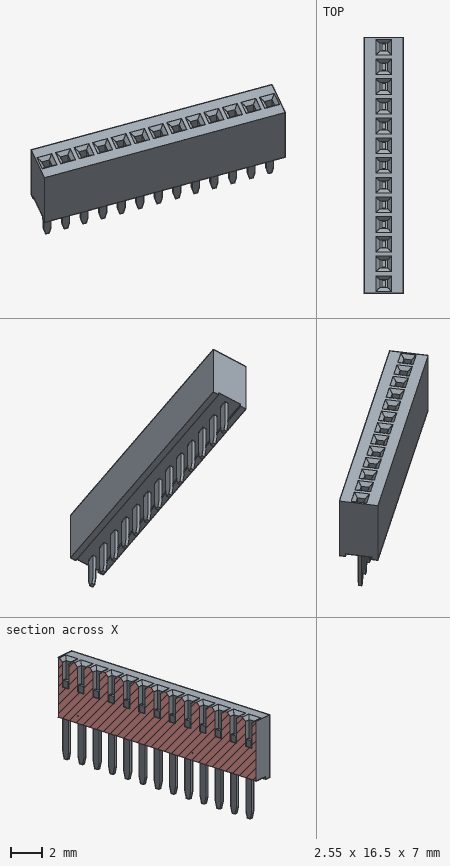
import cadquery as cq

contact_count = 13
length = 16.51
pitch = 1.27
width = 2.55
overall_height = 7.0
pin_projection = 2.6
housing_height = overall_height - pin_projection

foot_width = 0.41
foot_height = 0.2

funnel_size = 1.0
hole_size = 0.51
funnel_depth = 0.25
hole_depth = 1.98
hole_floor_z = housing_height - hole_depth

pin_thickness = 0.21
pin_width = 0.5
tip_width = 0.25
tip_height = 0.51

blade_width = 0.41
blade_height = 0.5


def make_housing():
    block = cq.Workplane("XY").box(width, length, housing_height, centered=(True, True, False))
    channel = cq.Workplane("XY").box(
        width - 2 * foot_width, length, foot_height, centered=(True, True, False)
    )
    return block.cut(channel)


def make_socket():
    funnel = (
        cq.Workplane("XY", origin=(0, 0, housing_height))
        .rect(funnel_size, funnel_size)
        .workplane(offset=-funnel_depth)
        .rect(hole_size, hole_size)
        .loft(ruled=True)
    )
    hole = (
        cq.Workplane("XY", origin=(0, 0, hole_floor_z))
        .rect(hole_size, hole_size)
        .extrude(hole_depth - funnel_depth)
    )
    return funnel.union(hole)


def make_pin():
    tip_z = -pin_projection
    shoulder_z = tip_z + tip_height
    return (
        cq.Workplane("YZ")
        .moveTo(-tip_width / 2, tip_z)
        .lineTo(tip_width / 2, tip_z)
        .lineTo(pin_width / 2, shoulder_z)
        .lineTo(pin_width / 2, foot_height)
        .lineTo(-pin_width / 2, foot_height)
        .lineTo(-pin_width / 2, shoulder_z)
        .close()
        .extrude(pin_thickness / 2, both=True)
    )


def make_blade():
    return (
        cq.Workplane("XY", origin=(0, 0, hole_floor_z))
        .rect(pin_thickness, blade_width)
        .extrude(blade_height)
    )


result = make_housing()
for i in range(contact_count):
    cell_center = (0, (i - (contact_count - 1) / 2) * pitch, 0)
    result = result.cut(make_socket().translate(cell_center))
    result = result.union(make_blade().translate(cell_center))
    result = result.union(make_pin().translate(cell_center))